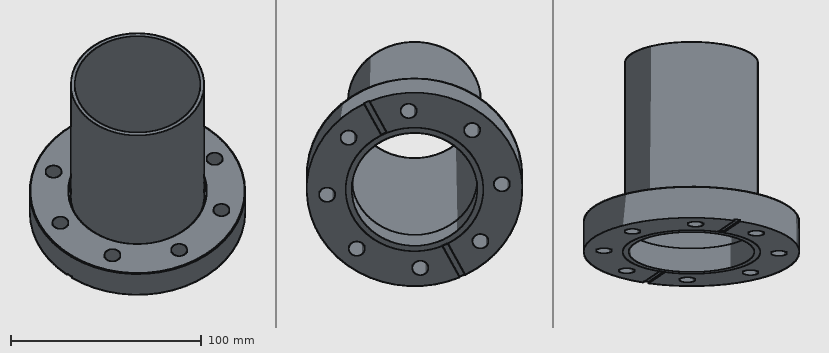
import cadquery as cq

total_height = 104.9

flange_diameter = 113.5
flange_thickness = 17.5
flange_bore = 72.4
edge_chamfer = 0.5
bore_chamfer = 0.3

bolt_count = 8
bolt_circle = 92.1
bolt_hole_diameter = 8.4
first_bolt_angle = -61.2
bolt_pitch_angle = 360 / bolt_count

groove_count = 2
groove_width = 3.2
groove_depth = 0.8

tube_outer_diameter = 70.1
tube_inner_diameter = 66.0
hub_recess = 4.4
hub_height = flange_thickness - hub_recess


def ring(outer_diameter, inner_diameter, height):
    """Plain ring standing on Z = 0."""
    return cq.Workplane("XY").circle(outer_diameter / 2).circle(inner_diameter / 2).extrude(height)


def leak_groove(angle):
    """Radial bar reaching from the axis past the rim, used to cut one groove."""
    bar = cq.Workplane("XY").box(
        flange_diameter, groove_width, groove_depth, centered=(False, True, False)
    )
    return bar.rotate((0, 0, 0), (0, 0, 1), angle)


def make_flange():
    """Rotatable bolted flange, with its first bolt hole turned to its final angle."""
    body = ring(flange_diameter, flange_bore, flange_thickness)

    body = body.edges(">Z").edges(cq.selectors.RadiusNthSelector(1)).chamfer(edge_chamfer)
    body = body.edges(">Z").edges(cq.selectors.RadiusNthSelector(0)).chamfer(bore_chamfer)

    bolt_holes = (
        cq.Workplane("XY")
        .polarArray(bolt_circle / 2, 0, 360, bolt_count)
        .circle(bolt_hole_diameter / 2)
        .extrude(flange_thickness)
    )
    body = body.cut(bolt_holes)

    for index in range(groove_count):
        groove_angle = index * 360 / groove_count - bolt_pitch_angle / 2
        body = body.cut(leak_groove(groove_angle))

    return body.rotate((0, 0, 0), (0, 0, 1), first_bolt_angle)


def make_hub():
    """Ring filling the flange bore below the recess, flush with the tube bore."""
    return ring(flange_bore, tube_inner_diameter, hub_height)


def make_tube():
    """Tube standing on the hub ring."""
    tube = ring(tube_outer_diameter, tube_inner_diameter, total_height - hub_height)
    return tube.translate((0, 0, hub_height))


flange = make_flange()
hub = make_hub()
tube = make_tube()

result = cq.Compound.makeCompound([flange.val(), hub.val(), tube.val()])